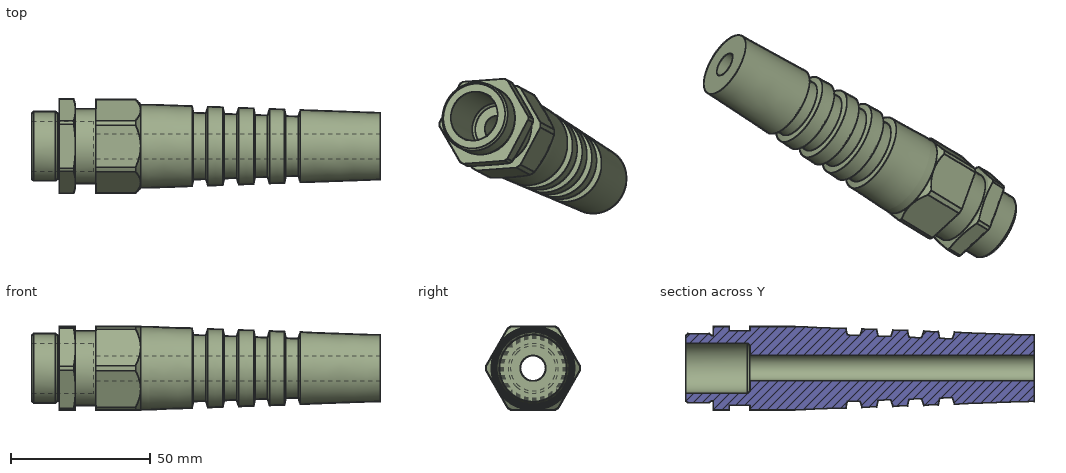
import cadquery as cq
import math


thread_radius = 25.0 / 2
thread_end = 9.25
thread_chamfer_length = 0.8
thread_chamfer_depth = 0.7
neck_radius = thread_radius - thread_chamfer_depth

across_flats = 30.0
flat_radius = across_flats / 2
hex_sides = 6
body_hex_start = 9.85
body_hex_end = 15.65
body_hex_corner_radius = 33.9 / 2
body_hex_chamfer_length = 0.6
collar_radius = 26.9 / 2
nut_start = 23.0
nut_end = 39.1
nut_corner_radius = 33.6 / 2

sleeve_radius = 29.9 / 2
nut_chamfer_length = nut_corner_radius - sleeve_radius
cone_start = 42.25
total_length = 125.0
sleeve_end_radius = 12.0
groove_count = 4
groove_pitch = 11.05
first_groove_start = 57.5
groove_width = 5.7
groove_depth = 2.35
near_wall_run = 0.5
far_wall_run = 0.75

entry_radius = 17.9 / 2
entry_depth = 23.0
seat_radius = 16.2 / 2
seat_length = entry_radius - seat_radius
through_radius = 9.0 / 2


def revolve_about_x(profile):
    """Revolve a closed (x, radius) outline about the X axis."""
    return cq.Workplane("XY").polyline(profile).close().revolve(360, (0, 0, 0), (1, 0, 0))


def cylinder(start, end, radius):
    return cq.Workplane("YZ", origin=(start, 0, 0)).circle(radius).extrude(end - start)


def cone_radius(x):
    """Radius of the sleeve's conical envelope at station x."""
    slope = (sleeve_radius - sleeve_end_radius) / (total_length - cone_start)
    return sleeve_radius - slope * (x - cone_start)


def thread():
    return revolve_about_x([
        (0, 0),
        (0, thread_radius - thread_chamfer_depth),
        (thread_chamfer_length, thread_radius),
        (thread_end - thread_chamfer_length, thread_radius),
        (thread_end, neck_radius),
        (body_hex_start, neck_radius),
        (body_hex_start, 0),
    ])


def hexagon(start, end, corner_radius, chamfer_length, chamfer_end_radius):
    """Hexagonal prism with turned corners and a turned chamfer at its +X end."""
    corner_diameter = across_flats / math.cos(math.pi / hex_sides)
    prism = cq.Workplane("YZ", origin=(start, 0, 0)).polygon(hex_sides, corner_diameter).extrude(end - start)
    envelope = revolve_about_x([
        (start, 0),
        (start, corner_radius),
        (end - chamfer_length, corner_radius),
        (end, chamfer_end_radius),
        (end, 0),
    ])
    return prism.intersect(envelope)


def sleeve():
    """Sleeve outline with sloped groove walls, revolved to a solid."""
    profile = [(nut_start, 0), (nut_start, sleeve_radius), (cone_start, sleeve_radius)]
    for index in range(groove_count):
        start = first_groove_start + index * groove_pitch
        end = start + groove_width
        floor_start = start + near_wall_run
        floor_end = end - far_wall_run
        profile += [
            (start, cone_radius(start)),
            (floor_start, cone_radius(floor_start) - groove_depth),
            (floor_end, cone_radius(floor_end) - groove_depth),
            (end, cone_radius(end)),
        ]
    profile += [(total_length, sleeve_end_radius), (total_length, 0)]
    return revolve_about_x(profile)


def bore():
    return revolve_about_x([
        (0, 0),
        (0, entry_radius),
        (entry_depth - seat_length, entry_radius),
        (entry_depth, seat_radius),
        (entry_depth, through_radius),
        (total_length, through_radius),
        (total_length, 0),
    ])


body_hex = hexagon(
    body_hex_start, body_hex_end, body_hex_corner_radius, body_hex_chamfer_length, flat_radius
)
collar = cylinder(body_hex_end, nut_start, collar_radius)
nut = hexagon(nut_start, nut_end, nut_corner_radius, nut_chamfer_length, sleeve_radius)

result = thread().union(body_hex).union(collar).union(nut).union(sleeve()).cut(bore())